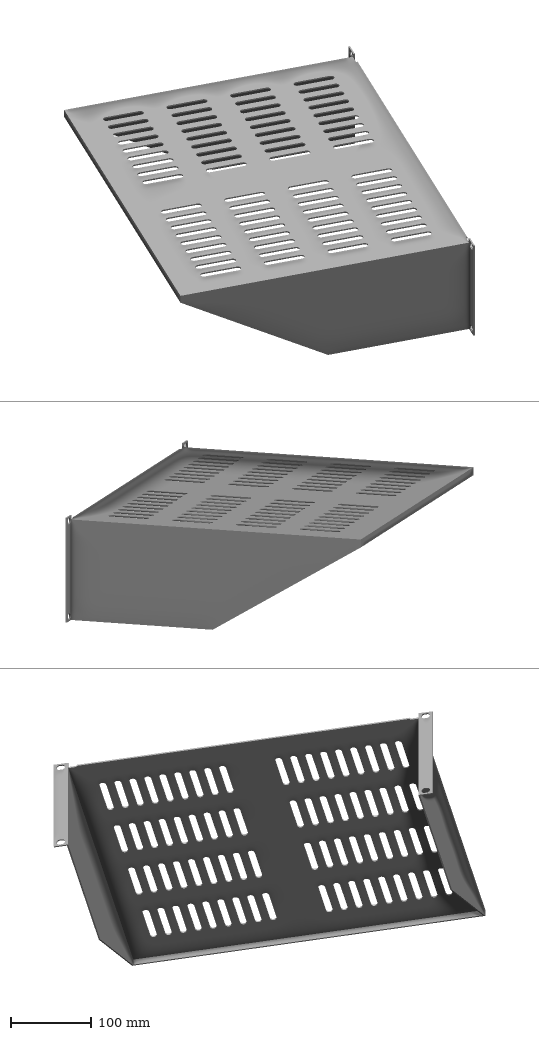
import cadquery as cq


width = 482.5
depth = 381.3
height = 133.0
sheet = 2.0

deck_width = 450.0
deck_drop = 5.5
lip_height = 10.0
wall_bottom_length = 187.2
deck_top = height - deck_drop
lip_bottom = deck_top - lip_height
wall_inside = deck_width / 2 - sheet

relief_width = 10.5

mount_slot_length = 10.5
mount_slot_height = 7.5
mount_slot_spacing_x = 464.7
mount_slot_spacing_z = 121.5

vent_length = 53.0
vent_width = 8.5
vent_rows = 4
vent_columns = 9
vent_row_pitch = 83.5
vent_group_span = 152.5
vent_group_spacing = 224.0
vent_column_pitch = vent_group_span / (vent_columns - 1)


def block(x_min, x_max, y_min, y_max, z_min, z_max):
    """Solid box given by its limits along each axis."""
    size = (x_max - x_min, y_max - y_min, z_max - z_min)
    return cq.Workplane("XY").box(*size, centered=False).translate((x_min, y_min, z_min))


def make_deck():
    """Flat deck with its two rear corners notched."""
    half_width = deck_width / 2
    deck = block(-half_width, half_width, 0, depth, deck_top - sheet, deck_top)
    relief_inside = wall_inside - relief_width
    for x_min, x_max in ((-half_width, -relief_inside), (relief_inside, half_width)):
        deck = deck.cut(block(x_min, x_max, depth - sheet, depth, 0, height))
    return deck


def make_lip():
    """Front edge of the deck folded down."""
    return block(-deck_width / 2, deck_width / 2, 0, sheet, lip_bottom, deck_top)


def make_right_wall():
    """Side wall with its lower edge sloping up to the front lip."""
    profile = [
        (0, deck_top),
        (0, lip_bottom),
        (depth - wall_bottom_length, 0),
        (depth, 0),
        (depth, deck_top),
    ]
    wall = cq.Workplane("YZ").polyline(profile).close().extrude(sheet)
    return wall.translate((wall_inside, 0, 0))


def make_right_ear():
    """Rear flange folded outwards from the side wall."""
    return block(wall_inside, width / 2, depth - sheet, depth, 0, height)


def make_mount_slots():
    """Cutters for the four horizontal slots through the ears."""
    return (
        cq.Workplane("XZ", origin=(0, depth, height / 2))
        .rarray(mount_slot_spacing_x, mount_slot_spacing_z, 2, 2)
        .slot2D(mount_slot_length, mount_slot_height)
        .extrude(sheet)
    )


def make_vents(group_centre):
    """Cutters for one group of vent slots, running front to rear."""
    return (
        cq.Workplane("XY", origin=(group_centre, depth / 2, deck_top))
        .rarray(vent_column_pitch, vent_row_pitch, vent_columns, vent_rows)
        .slot2D(vent_length, vent_width, 90)
        .extrude(-sheet)
    )


right_side = make_right_wall().union(make_right_ear())
left_side = right_side.mirror("YZ")
result = make_deck().union(make_lip()).union(right_side).union(left_side)

result = result.cut(make_mount_slots())
for side in (-1, 1):
    result = result.cut(make_vents(side * vent_group_spacing / 2))